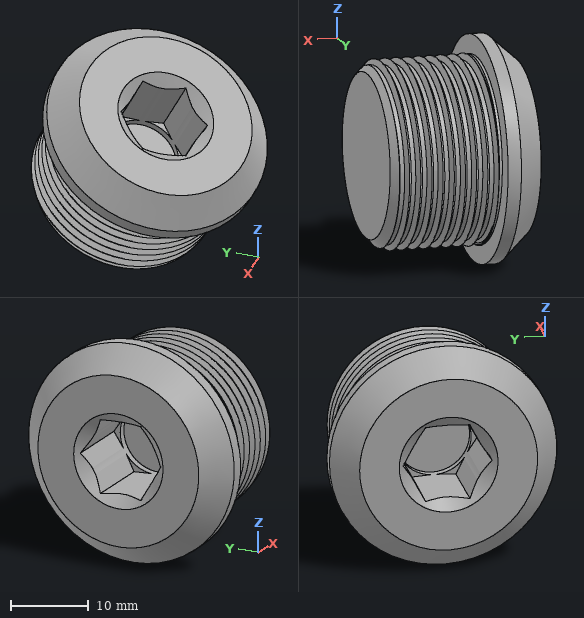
import cadquery as cq
import math

LENGTH = 20.1
HEAD_RADIUS = 29.9 / 2
HEAD_FACE_RADIUS = 11.7
HEAD_TAPER_LENGTH = 3.65
HEAD_LENGTH = 5.45

COLLAR_RADIUS = 12.35
COLLAR_END = 5.83

CREST_RADIUS = 12.47
ROOT_RADIUS = 11.7
FULL_TURNS = 9
FULL_TURNS_LENGTH = 13.5
PITCH = FULL_TURNS_LENGTH / FULL_TURNS
FLANK_HALF_ANGLE = math.radians(30)
CREST_BELOW_HEAD = 0.12
ROOT_OVERLAP = 0.15
TRIM_CLEARANCE = 0.3
TIP_RADIUS = 10.88

MOUTH_RADIUS = 12.98 / 2
LEAD_IN_DEPTH = 1.38
CORNER_RADIUS = 5.83
BORE_RADIUS = 9.85 / 2
FLAT_HALF_WIDTH = 0.45
SOCKET_DEPTH = 10.0
BORE_DEPTH = 11.0
SIDES = 6


def revolve_about_x(points):
    """Revolve an (x, radius) outline about the part axis."""
    return cq.Workplane("XY").polyline(points).close().revolve(360, (0, 0, 0), (1, 0, 0))


def make_body():
    tip_chamfer = ROOT_RADIUS - TIP_RADIUS
    return revolve_about_x([
        (0, 0),
        (0, HEAD_FACE_RADIUS),
        (HEAD_TAPER_LENGTH, HEAD_RADIUS),
        (HEAD_LENGTH, HEAD_RADIUS),
        (HEAD_LENGTH, COLLAR_RADIUS),
        (COLLAR_END, COLLAR_RADIUS),
        (COLLAR_END, ROOT_RADIUS),
        (LENGTH - tip_chamfer, ROOT_RADIUS),
        (LENGTH, TIP_RADIUS),
        (LENGTH, 0),
    ])


def make_thread():
    """Sharp helical tooth, trimmed by the head and by the 45 degree tip chamfer."""
    start = HEAD_LENGTH + CREST_BELOW_HEAD - PITCH
    base_radius = ROOT_RADIUS - ROOT_OVERLAP
    half_base = (CREST_RADIUS - base_radius) * math.tan(FLANK_HALF_ANGLE)
    helix_length = LENGTH + PITCH - start
    helix = cq.Workplane(obj=cq.Wire.makeHelix(PITCH, helix_length, base_radius))
    tooth = (
        cq.Workplane("XZ")
        .polyline([(base_radius, -half_base), (CREST_RADIUS, 0), (base_radius, half_base)])
        .close()
        .sweep(helix, isFrenet=True)
        .rotate((0, 0, 0), (0, 1, 0), 90)
        .translate((start, 0, 0))
    )
    outer = CREST_RADIUS + TRIM_CLEARANCE
    inside_head = (HEAD_TAPER_LENGTH + HEAD_LENGTH) / 2
    envelope = revolve_about_x([
        (inside_head, 0),
        (inside_head, outer),
        (LENGTH - (outer - TIP_RADIUS), outer),
        (LENGTH, TIP_RADIUS),
        (LENGTH, 0),
    ])
    return tooth.intersect(envelope)


def make_socket():
    """Six pointed corners around a round bore, with a conical lead-in at the mouth."""
    flat_half_angle = math.asin(FLAT_HALF_WIDTH / BORE_RADIUS)
    mid_flat = math.pi / SIDES
    outline = []
    for side in range(SIDES):
        corner = 2 * math.pi * side / SIDES
        for radius, angle in (
            (CORNER_RADIUS, corner),
            (BORE_RADIUS, corner + mid_flat - flat_half_angle),
            (BORE_RADIUS, corner + mid_flat + flat_half_angle),
        ):
            outline.append((radius * math.cos(angle), radius * math.sin(angle)))
    corners = cq.Workplane("YZ").polyline(outline).close().extrude(SOCKET_DEPTH)
    bore = cq.Workplane("YZ").circle(BORE_RADIUS).extrude(BORE_DEPTH)
    lead_in = revolve_about_x([
        (0, 0),
        (0, MOUTH_RADIUS),
        (LEAD_IN_DEPTH, BORE_RADIUS),
        (LEAD_IN_DEPTH, 0),
    ])
    return corners.union(bore).union(lead_in)


result = make_body().union(make_thread()).cut(make_socket())